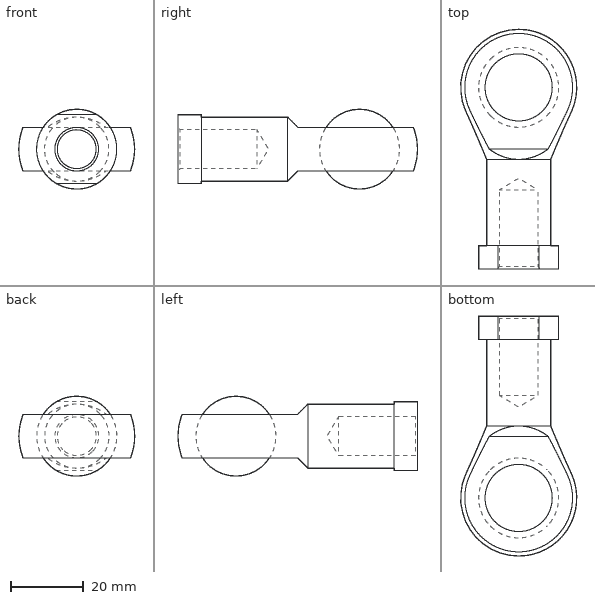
import cadquery as cq
import math

total_length = 65.95
head_radius = 15.99
head_thickness = 12.0
ball_radius = 11.0
neck_radius = 8.85
neck_start = 19.8
collar_radius = 11.0
collar_length = 6.45
collar_across_flats = 18.9
bore_radius = 5.35
bore_depth = 21.75
bore_chamfer = 0.65
drill_point_angle = 118.0

shank_end = total_length - head_radius
collar_start = shank_end - collar_length
half_thickness = head_thickness / 2
shoulder_start = neck_start - (neck_radius - half_thickness)
drill_point_length = bore_radius / math.tan(math.radians(drill_point_angle / 2))


def make_body_blank():
    """Revolved spherical head with a tangent cone running into the neck."""
    neck_distance = math.hypot(neck_radius, neck_start)
    tangent_angle = math.atan2(-neck_start, neck_radius) + math.acos(head_radius / neck_distance)
    tangent_x = head_radius * math.cos(tangent_angle)
    tangent_y = head_radius * math.sin(tangent_angle)
    return (
        cq.Workplane("XY")
        .moveTo(0, head_radius)
        .threePointArc((head_radius, 0), (tangent_x, tangent_y))
        .lineTo(neck_radius, -neck_start)
        .lineTo(neck_radius, -collar_start)
        .lineTo(0, -collar_start)
        .close()
        .revolve(360, (0, 0, 0), (0, 1, 0))
    )


def make_side_envelope():
    """Side profile giving the head its flats and 45 degree shoulders."""
    half_profile = [
        (head_radius, half_thickness),
        (-shoulder_start, half_thickness),
        (-neck_start, neck_radius),
        (-collar_start, neck_radius),
    ]
    mirrored_profile = [(y, -z) for y, z in reversed(half_profile)]
    return (
        cq.Workplane("YZ")
        .polyline(half_profile + mirrored_profile)
        .close()
        .extrude(head_radius, both=True)
    )


def make_collar():
    """Round collar with two wrench flats facing +Z and -Z."""
    collar = cq.Workplane("XZ", origin=(0, -collar_start, 0)).circle(collar_radius).extrude(collar_length)
    flats = cq.Workplane("XY").box(2 * collar_radius, 2 * shank_end, collar_across_flats)
    return collar.intersect(flats)


def make_bore():
    """Blind shank bore with an entry chamfer and a conical drill point."""
    bore_bottom = -shank_end + bore_depth
    return (
        cq.Workplane("XY")
        .moveTo(0, -shank_end)
        .lineTo(bore_radius + bore_chamfer, -shank_end)
        .lineTo(bore_radius, -shank_end + bore_chamfer)
        .lineTo(bore_radius, bore_bottom)
        .lineTo(0, bore_bottom + drill_point_length)
        .close()
        .revolve(360, (0, 0, 0), (0, 1, 0))
    )


def make_ball():
    return cq.Workplane("XY").sphere(ball_radius)


def make_rod_end():
    """Rod-end housing with a spherical socket fitting the ball."""
    blank = make_body_blank().intersect(make_side_envelope())
    return blank.union(make_collar()).cut(make_bore()).cut(make_ball())


rod_end = make_rod_end()
ball = make_ball()

result = cq.Compound.makeCompound([rod_end.solids().val(), ball.val()])